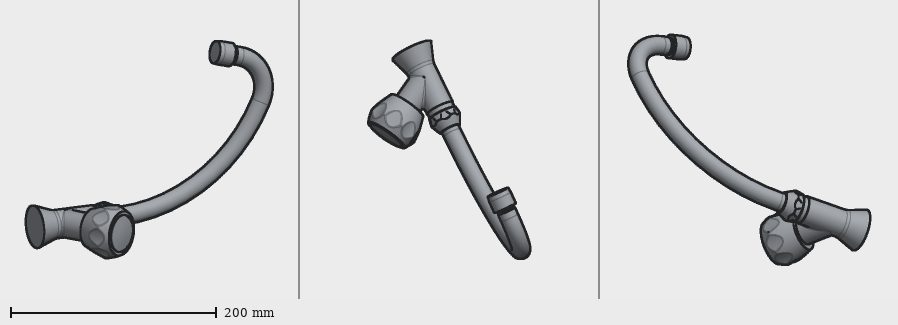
import cadquery as cq
import math

body_radius = 14.0
foot_radius = 21.0
foot_length = 20.0
foot_blend_radius = 10.0
body_end = 63.5
neck_radius = 13.4

nut_start = 69.3
nut_ridge = 76.5
nut_end = 86.5
nut_start_radius = 14.4
nut_ridge_radius = 15.5
nut_end_radius = 10.6
nut_flat_count = 6
nut_flat_distance = 14.55

tube_radius = 9.1
spout_start = 90.9
outlet_tilt = 15.0
crook_radius = 35.0
sweep_angle = 65.24
sweep_radius = 167.5
outlet_straight = 7.0

aerator_neck_radius = 8.6
aerator_neck_length = 2.5
aerator_groove_radius = 7.8
aerator_groove_length = 0.9
aerator_radius = 11.6
aerator_length = 17.0
aerator_taper_length = 5.0
aerator_end_radius = 11.0

branch_angle = 30.0
branch_origin_y = 31.5
branch_radius = 13.9
branch_blend_radius = 2.0
wheel_back = 32.0
wheel_ridge = 56.5
wheel_front = 67.4
wheel_back_radius = 19.1
wheel_mid = 45.0
wheel_mid_radius = 23.6
wheel_ridge_radius = 26.7
wheel_front_radius = 21.8
scallop_count = 8
scallop_radius = 30.0
scallop_floor = 23.7
scallop_edge_round = 2.0
rim_margin = 1.0

cap_radius = 18.2
cap_step = 1.2
cap_height = 3.1
cap_edge_round = 0.5


def turn_about_y(half_outline):
    """Revolve a closed (radius, y) half outline about the Y axis."""
    return half_outline.close().revolve(360, (0, 0, 0), (0, 1, 0))


def make_body():
    """Straight tubular body with a flared foot and a slimmer neck."""
    profile = (
        cq.Workplane("XY")
        .lineTo(foot_radius, 0)
        .lineTo(body_radius, foot_length)
        .lineTo(body_radius, body_end)
        .lineTo(neck_radius, body_end)
        .lineTo(neck_radius, nut_start)
        .lineTo(0, nut_start)
    )
    body = turn_about_y(profile)
    waist = cq.selectors.NearestToPointSelector((0, foot_length, 0))
    return body.edges(waist).fillet(foot_blend_radius)


def place_on_branch(shape):
    """Move a shape built along +X onto the branch axis."""
    turned = shape.rotate((0, 0, 0), (0, 0, 1), branch_angle)
    return turned.translate((0, branch_origin_y, 0))


def make_branch():
    """Side branch that carries the handwheel."""
    branch = cq.Workplane("YZ").circle(branch_radius).extrude(wheel_back)
    return place_on_branch(branch)


def make_wheel():
    """Barrel-shaped handwheel with finger scallops, built along +X."""
    profile = (
        cq.Workplane("XY")
        .moveTo(wheel_back, 0)
        .lineTo(wheel_back, wheel_back_radius)
        .threePointArc((wheel_mid, wheel_mid_radius), (wheel_ridge, wheel_ridge_radius))
        .lineTo(wheel_front, wheel_front_radius)
        .lineTo(wheel_front, 0)
        .close()
    )
    wheel = profile.revolve(360, (0, 0, 0), (1, 0, 0))
    cutter = (
        cq.Workplane("YZ", origin=(wheel_back, 0, 0))
        .center(0, scallop_floor + scallop_radius)
        .circle(scallop_radius)
        .extrude(wheel_front - wheel_back)
    )
    for index in range(scallop_count):
        wheel = wheel.cut(cutter.rotate((0, 0, 0), (1, 0, 0), index * 360 / scallop_count))
    inner_edges = cq.selectors.BoxSelector(
        (wheel_back + rim_margin, -wheel_ridge_radius, -wheel_ridge_radius),
        (wheel_front - rim_margin, wheel_ridge_radius, wheel_ridge_radius),
    )
    return wheel.edges(inner_edges).edges("not %LINE").fillet(scallop_edge_round)


def make_cap():
    """Domed cap on the front of the handwheel, built along +X."""
    dome_rise = cap_height - cap_step
    dome_radius = (cap_radius**2 + dome_rise**2) / (2 * dome_rise)
    cap = (
        cq.Workplane("XY")
        .moveTo(wheel_mid, 0)
        .lineTo(wheel_mid, cap_radius)
        .lineTo(wheel_front + cap_step, cap_radius)
        .radiusArc((wheel_front + cap_height, 0), dome_radius)
        .close()
        .revolve(360, (0, 0, 0), (1, 0, 0))
    )
    rim = cq.selectors.NearestToPointSelector((wheel_front + cap_step, 0, 0))
    return cap.edges(rim).fillet(cap_edge_round)


def make_nut():
    """Double-cone gland nut with flats cut across its ridge."""
    profile = (
        cq.Workplane("XY")
        .moveTo(0, nut_start)
        .lineTo(nut_start_radius, nut_start)
        .lineTo(nut_ridge_radius, nut_ridge)
        .lineTo(nut_end_radius, nut_end)
        .lineTo(0, nut_end)
    )
    flats = (
        cq.Workplane("XZ", origin=(0, nut_start, 0))
        .polygon(nut_flat_count, 2 * nut_flat_distance, circumscribed=True)
        .extrude(nut_start - nut_end)
        .rotate((0, 0, 0), (0, 1, 0), 180 / nut_flat_count)
    )
    return turn_about_y(profile).intersect(flats)


def arc_point(center, radius, heading):
    """Point of a counter-clockwise arc where its travel direction is heading."""
    turn = math.radians(heading)
    return (center[0] + radius * math.sin(turn), center[1] - radius * math.cos(turn))


def make_spout():
    """Swept spout with the aerator on its outlet."""
    outlet_heading = 180 - outlet_tilt
    sweep_center = (spout_start, sweep_radius)
    joint = arc_point(sweep_center, sweep_radius, sweep_angle)
    crook_center = arc_point(sweep_center, sweep_radius - crook_radius, sweep_angle)
    crook_end = arc_point(crook_center, crook_radius, outlet_heading)
    path = (
        cq.Workplane("YZ")
        .moveTo(nut_end, 0)
        .lineTo(spout_start, 0)
        .threePointArc(arc_point(sweep_center, sweep_radius, sweep_angle / 2), joint)
        .threePointArc(
            arc_point(crook_center, crook_radius, (sweep_angle + outlet_heading) / 2), crook_end
        )
    )
    tube = cq.Workplane("XZ", origin=(0, nut_end, 0)).circle(tube_radius).sweep(path)

    neck_start = outlet_straight
    groove_start = neck_start + aerator_neck_length
    aerator_start = groove_start + aerator_groove_length
    aerator_end = aerator_start + aerator_length
    outlet = turn_about_y(
        cq.Workplane("XY")
        .lineTo(tube_radius, 0)
        .lineTo(tube_radius, neck_start)
        .lineTo(aerator_neck_radius, neck_start)
        .lineTo(aerator_neck_radius, groove_start)
        .lineTo(aerator_groove_radius, groove_start)
        .lineTo(aerator_groove_radius, aerator_start)
        .lineTo(aerator_radius, aerator_start)
        .lineTo(aerator_radius, aerator_end - aerator_taper_length)
        .lineTo(aerator_end_radius, aerator_end)
        .lineTo(0, aerator_end)
    )
    outlet = outlet.rotate((0, 0, 0), (1, 0, 0), outlet_heading).translate((0, *crook_end))
    return tube.union(outlet)


def make_valve():
    """Body and branch with a small blend along their joint."""
    valve = make_body().union(make_branch())
    return valve.edges("not (%LINE or %CIRCLE)").fillet(branch_blend_radius)


handwheel = place_on_branch(make_wheel().union(make_cap()))
result = make_valve().union(handwheel).union(make_nut()).union(make_spout())